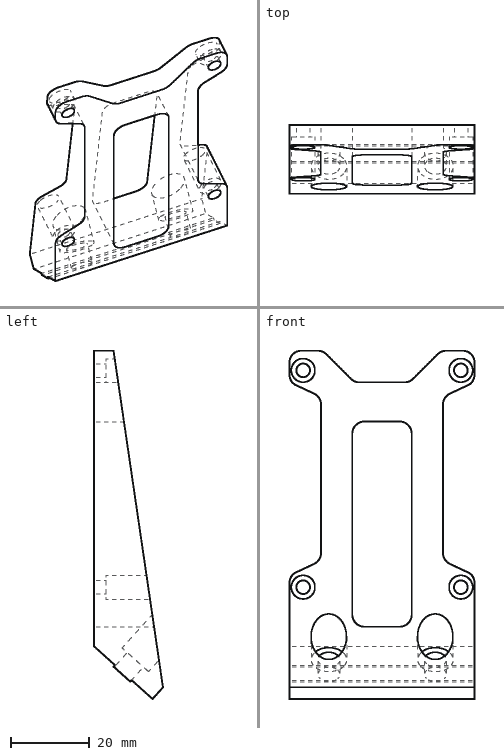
import cadquery as cq
import math


width = 47.0
back_height = 75.0
top_thickness = 5.0
through_cut = 200.0

foot_angle = 42.0
foot_length = 20.0
toe_length = 4.0
tongue_width = 5.8
tongue_height = 0.5

neck_width = 31.0
arm_top = 8.0
notch_width = 14.0
arm_slope = 25.0
corner_radius = 3.0
window_width = 15.0
window_top = -18.0
window_bottom = -70.0

mount_spacing_x = 40.0
mount_spacing_z = 55.0
mount_top = -5.0
mount_diameter = 3.4
mount_head_diameter = 6.0
mount_floor = 3.0
mount_edge = 3.0

screw_spacing = 27.0
screw_diameter = 5.5
screw_head_diameter = 9.0
screw_floor = 4.5

foot_sin = math.sin(math.radians(foot_angle))
foot_cos = math.cos(math.radians(foot_angle))
foot_inward = cq.Vector(0, -foot_sin, foot_cos)
toe_y = -foot_length * foot_cos
toe_z = -back_height - foot_length * foot_sin
foot_centre_y = toe_y / 2
foot_centre_z = (toe_z - back_height) / 2


def make_wedge():
    """Side profile: flat back, sloping front, slanted foot."""
    return (
        cq.Workplane("YZ")
        .polyline([
            (0, 0),
            (0, -back_height),
            (toe_y, toe_z),
            (toe_y - toe_length * foot_sin, toe_z + toe_length * foot_cos),
            (-top_thickness, 0),
        ])
        .close()
        .extrude(width / 2, both=True)
    )


def make_outline():
    """Front outline with four arms, extruded through the whole depth."""
    half_width = width / 2
    half_neck = neck_width / 2
    half_notch = notch_width / 2
    slope_drop = (half_width - half_neck) * math.tan(math.radians(arm_slope))
    upper_slope = mount_top - mount_edge
    lower_slope = mount_top - mount_spacing_z + mount_edge
    right_side = [
        (half_notch, -arm_top),
        (half_notch + arm_top, 0),
        (half_width, 0),
        (half_width, upper_slope),
        (half_neck, upper_slope - slope_drop),
        (half_neck, lower_slope + slope_drop),
        (half_width, lower_slope),
    ]
    left_side = [(-x, z) for x, z in reversed(right_side)]
    base = [(half_width, toe_z), (-half_width, toe_z)]
    outline = (
        cq.Workplane("XZ")
        .polyline(right_side + base + left_side)
        .close()
        .extrude(through_cut / 2, both=True)
    )
    return outline.edges("|Y").edges("not(<Z)").fillet(corner_radius)


def make_window():
    """Rounded vertical opening between the two legs."""
    return (
        cq.Workplane("XZ")
        .center(0, (window_top + window_bottom) / 2)
        .rect(window_width, window_top - window_bottom)
        .extrude(through_cut / 2, both=True)
        .edges("|Y")
        .fillet(corner_radius)
    )


def make_tongue():
    """Full-width locating key along the middle of the foot, half sunk into the body."""
    return (
        cq.Workplane("XY")
        .box(width, tongue_width, 2 * tongue_height)
        .rotate((0, 0, 0), (1, 0, 0), foot_angle)
        .translate((0, foot_centre_y, foot_centre_z))
    )


def make_mount_holes():
    """Four counterbored holes square to the back."""
    centres = [
        (side * mount_spacing_x / 2, z)
        for side in (-1, 1)
        for z in (mount_top, mount_top - mount_spacing_z)
    ]
    bores = (
        cq.Workplane("XZ")
        .pushPoints(centres)
        .circle(mount_diameter / 2)
        .extrude(through_cut / 2, both=True)
    )
    heads = (
        cq.Workplane("XZ", origin=(0, -mount_floor, 0))
        .pushPoints(centres)
        .circle(mount_head_diameter / 2)
        .extrude(through_cut)
    )
    return bores.union(heads)


def make_screw_holes():
    """Two counterbored holes square to the foot, at its middle."""
    foot_plane = cq.Plane(
        origin=(0, foot_centre_y, foot_centre_z), xDir=(1, 0, 0), normal=foot_inward
    )
    centres = [(-screw_spacing / 2, 0), (screw_spacing / 2, 0)]
    bores = (
        cq.Workplane(foot_plane)
        .workplane(offset=-2 * tongue_height)
        .pushPoints(centres)
        .circle(screw_diameter / 2)
        .extrude(through_cut)
    )
    heads = (
        cq.Workplane(foot_plane)
        .workplane(offset=screw_floor)
        .pushPoints(centres)
        .circle(screw_head_diameter / 2)
        .extrude(through_cut)
    )
    return bores.union(heads)


body = make_wedge().intersect(make_outline()).union(make_tongue())
result = body.cut(make_window()).cut(make_mount_holes()).cut(make_screw_holes())